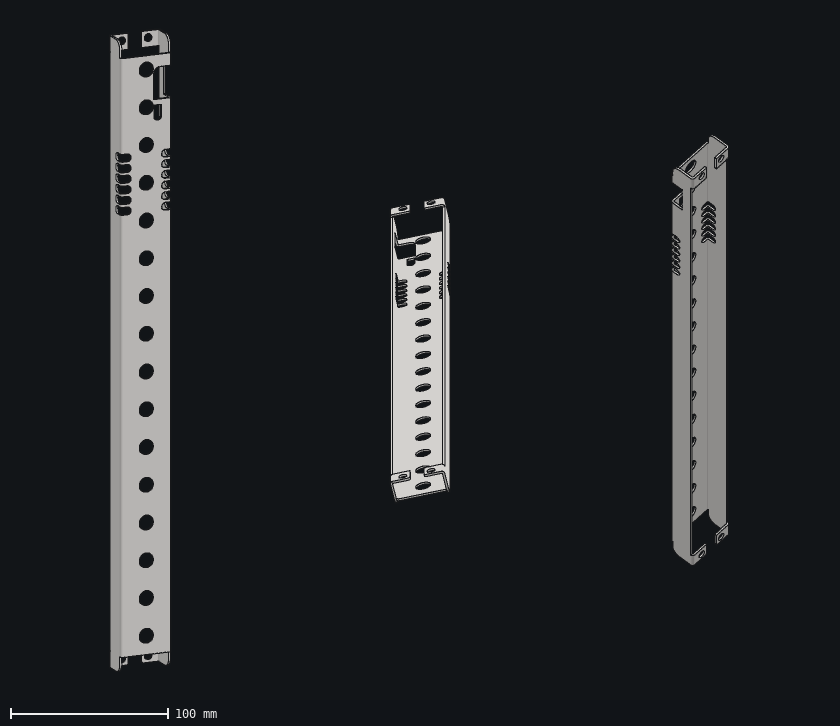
import cadquery as cq

depth = 19.2
width = 35.5
height = 418.2

sheet = 1.5
bend_outer = 1.9
bend_inner = bend_outer - sheet

end_length = 11.0
tab_gap = 9.0
tab_corner = 1.3
tab_hole_diameter = 5.0
tab_hole_spacing = 18.5
tab_hole_inset = 4.5
flange_corner = 6.0

web_hole_diameter = 9.5
web_hole_count = 16
web_hole_span = 374.7
web_hole_pitch = web_hole_span / (web_hole_count - 1)
web_hole_top_inset = 20.0

vent_count = 6
vent_span = 35.0
vent_pitch = vent_span / (vent_count - 1)
vent_top_inset = 77.0
vent_height = 5.0
vent_web_reach = 7.0
vent_flange_reach = 8.0

window_top_inset = 19.2
window_height = 21.5
window_web_reach = 12.5
window_flange_reach = 10.0
window_corner = 4.0
slot_width = 5.0
slot_top_inset = 44.5
slot_height = 10.0
slot_y = 8.0


def block(x_range, y_range, z_range):
    """Box spanning the given coordinate ranges."""
    ranges = (x_range, y_range, z_range)
    sizes = [high - low for low, high in ranges]
    corner = tuple(low for low, high in ranges)
    return cq.Workplane("XY").box(*sizes, centered=False).translate(corner)


def round_holes(sketch_points, diameter):
    """Round cutters along X, long enough to pass the full depth."""
    return cq.Workplane("YZ").pushPoints(sketch_points).circle(diameter / 2).extrude(depth)


def rounded_tube():
    """Closed tube of bent sheet, from which the channel is trimmed."""
    outer = block((0, depth), (-width / 2, width / 2), (0, height)).edges("|Z").fillet(bend_outer)
    inner = block(
        (sheet, depth - sheet),
        (-width / 2 + sheet, width / 2 - sheet),
        (0, height),
    )
    return outer.cut(inner.edges("|Z").fillet(bend_inner))


def trim_to_channel(tube):
    """Open the tube between the tabs and take the web away at both ends."""
    all_y = (-width / 2, width / 2)
    bottom = (0, end_length)
    top = (height - end_length, height)
    middle = (end_length, height - end_length)
    body = tube.cut(block((0, bend_outer), all_y, middle))
    body = body.cut(block((0, sheet), (-tab_gap / 2, tab_gap / 2), (0, height)))
    for end in (bottom, top):
        body = body.cut(block((depth - bend_outer, depth), all_y, end))
    return body


def round_end_corners(body):
    """Round the flange corners beside the web and the lower inner corners of the tabs."""
    flange_end = depth - bend_outer
    profile = (
        cq.Workplane("XZ", origin=(0, width / 2, 0))
        .moveTo(0, 0)
        .lineTo(flange_end - flange_corner, 0)
        .radiusArc((flange_end, flange_corner), -flange_corner)
        .lineTo(flange_end, end_length)
        .lineTo(depth, end_length)
        .lineTo(depth, height - end_length)
        .lineTo(flange_end, height - end_length)
        .lineTo(flange_end, height - flange_corner)
        .radiusArc((flange_end - flange_corner, height), -flange_corner)
        .lineTo(0, height)
        .close()
        .extrude(width)
    )
    body = body.intersect(profile)
    tab_edges = cq.selectors.BoxSelector(
        (-sheet, -tab_gap, -sheet), (2 * sheet, tab_gap, sheet)
    )
    return body.edges("|X").edges(tab_edges).fillet(tab_corner)


def tab_holes():
    """Screw hole in each of the four tabs."""
    half = tab_hole_spacing / 2
    points = [
        (y, z)
        for y in (-half, half)
        for z in (tab_hole_inset, height - tab_hole_inset)
    ]
    return round_holes(points, tab_hole_diameter)


def web_holes():
    """Evenly spaced holes down the middle of the web."""
    first_z = height - web_hole_top_inset
    points = [(0, first_z - i * web_hole_pitch) for i in range(web_hole_count)]
    return round_holes(points, web_hole_diameter)


def corner_vent(side, z):
    """Round-ended vent, running from the web around one corner into the flange."""
    web_straight = vent_web_reach - vent_height / 2
    flange_straight = vent_flange_reach - vent_height / 2
    z_range = (z - vent_height / 2, z + vent_height / 2)
    x_range = (depth - flange_straight, depth)
    y_range = sorted((side * width / 2, side * (width / 2 - web_straight)))
    corner = block(x_range, y_range, z_range)
    web_end = (
        cq.Workplane("YZ", origin=(depth - sheet, 0, 0))
        .center(side * (width / 2 - web_straight), z)
        .circle(vent_height / 2)
        .extrude(sheet)
    )
    flange_end = (
        cq.Workplane("XZ", origin=(0, side * width / 2, 0))
        .center(depth - flange_straight, z)
        .circle(vent_height / 2)
        .extrude(side * sheet)
    )
    return corner.union(web_end).union(flange_end)


def window():
    """Opening through the web and the flange at the +Y corner."""
    top = height - window_top_inset
    cutter = block(
        (depth - window_flange_reach, depth),
        (width / 2 - window_web_reach, width / 2),
        (top - window_height, top),
    )
    return cutter.edges("|X and <Y and >Z").fillet(window_corner)


def small_slot():
    """Slot in the web with a square top and a round bottom."""
    top = height - slot_top_inset
    radius = slot_width / 2
    arc_z = top - slot_height + radius
    straight = block((depth - sheet, depth), (slot_y - radius, slot_y + radius), (arc_z, top))
    return straight.union(
        cq.Workplane("YZ", origin=(depth - sheet, 0, 0))
        .center(slot_y, arc_z)
        .circle(radius)
        .extrude(sheet)
    )


result = round_end_corners(trim_to_channel(rounded_tube()))
result = result.cut(tab_holes()).cut(web_holes()).cut(window()).cut(small_slot())
for vent_index in range(vent_count):
    vent_z = height - vent_top_inset - vent_index * vent_pitch
    for vent_side in (-1, 1):
        result = result.cut(corner_vent(vent_side, vent_z))